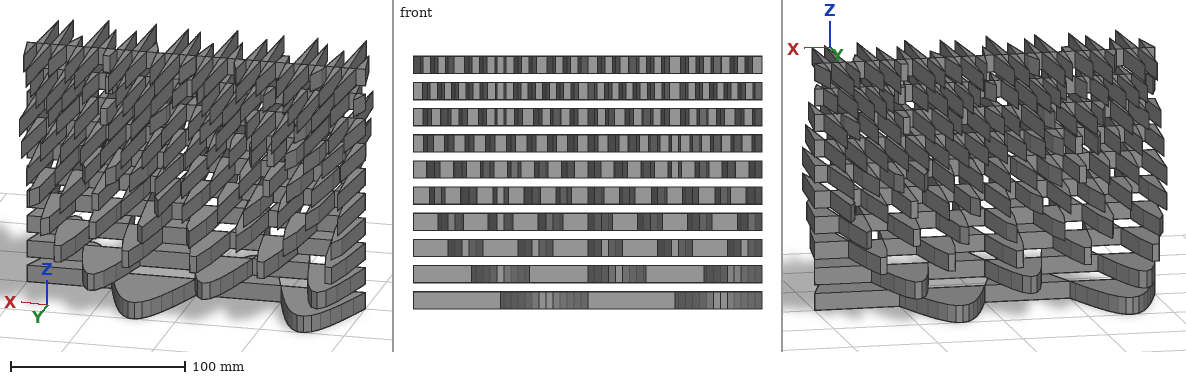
import cadquery as cq
import math

LENGTH = 200.0
AMPLITUDE = 50.0
THICKNESS = 10.0
GAP = 5.0
WEB_WIDTH = 0.05

CHORDS = 50

WAVE_COUNTS = [2, 3, 5, 7, 11, 13, 17, 19, 23, 29]

LEVEL_PITCH = THICKNESS + GAP
HALF_WEB = WEB_WIDTH / 2
ZERO_TOLERANCE = 2e-06


def sampled_wave(wave_count):
    """Points of the sine wave at the ends of its chords."""
    points = []
    for step in range(CHORDS + 1):
        fraction = step / CHORDS
        offset = AMPLITUDE * math.sin(2 * math.pi * wave_count * fraction)
        if abs(offset) < ZERO_TOLERANCE:
            offset = 0.0
        points.append((LENGTH * fraction, offset))
    return points


def with_axis_crossings(points):
    """The same points, plus one on the axis wherever a chord crosses it."""
    crossed = [points[0]]
    for (x0, y0), (x1, y1) in zip(points, points[1:]):
        if y0 * y1 < 0:
            crossed.append((x0 + (x1 - x0) * y0 / (y0 - y1), 0.0))
        crossed.append((x1, y1))
    return crossed


def wave_plate(wave_count, base_height):
    """A plate filled between the wave and its axis, with the lobes joined by the web."""
    wave = with_axis_crossings(sampled_wave(wave_count))
    back_edge = [(x, max(y, HALF_WEB)) for x, y in wave if y >= 0]
    front_edge = [(x, min(y, -HALF_WEB)) for x, y in wave if y <= 0]
    outline = front_edge + back_edge[::-1]
    return cq.Workplane("XY", origin=(0, 0, base_height)).polyline(outline).close().extrude(THICKNESS)


wave_plates = []
for level, wave_count in enumerate(WAVE_COUNTS):
    plate = wave_plate(wave_count, level * LEVEL_PITCH)
    wave_plates.append(plate.val())

result = cq.Compound.makeCompound(wave_plates)